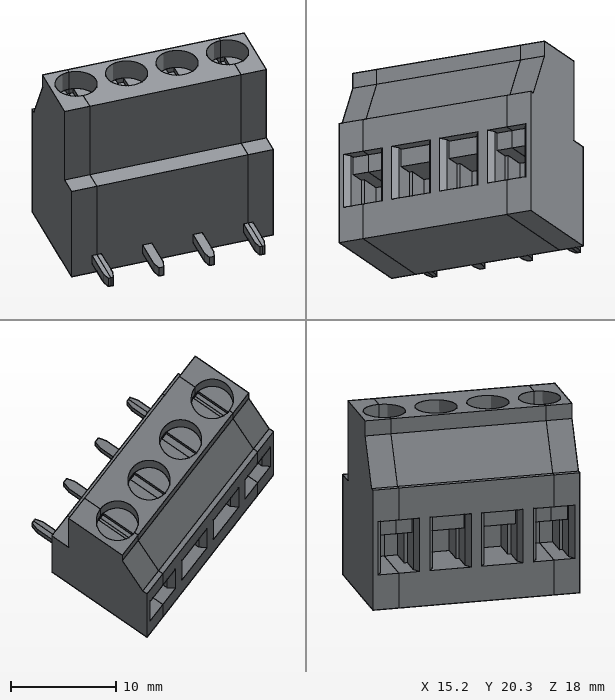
import cadquery as cq

pole_count = 4
pitch = 5.08
row_length = pole_count * pitch
first_pole_y = (pitch - row_length) / 2
pole_positions = [first_pole_y + i * pitch for i in range(pole_count)]
joint_y = pole_positions[-1]

base_depth = 11.2
height = 18.0
front_height = 12.0
front_ledge = 0.5
top_front_x = 2.9
slope_top_z = 16.5
top_back_x = 9.2
back_step_z = 10.0

well_diameter = 4.0
well_x = 5.35
well_depth = 2.0
slot_width = 0.81
slot_depth = 0.5

entry_floor_z = 3.5
entry_top_z = 8.82
mouth_width = 4.08
throat_width = 3.21
funnel_depth = 0.67
lintel_x = 1.14
lintel_z = 7.07
chamber_x = 2.87
chamber_width = 2.58
chamber_end_x = well_x

pin_tip_x = 15.2
pin_width = 0.93
pin_tip_width = 0.5
pin_taper = 0.8
pin_bottom_z = 1.04
pin_thickness = 0.98


def box_between(x_range, y_range, z_range):
    """Box spanning the given (low, high) range along each axis."""
    ranges = (x_range, y_range, z_range)
    sizes = [high - low for low, high in ranges]
    corner = tuple(low for low, high in ranges)
    return cq.Workplane("XY").box(*sizes, centered=False).translate(corner)


def housing_block():
    """Stepped housing profile, extruded over the whole row."""
    outline = [
        (0, 0),
        (base_depth, 0),
        (base_depth, back_step_z),
        (top_back_x, back_step_z),
        (top_back_x, height),
        (top_front_x, height),
        (top_front_x, slope_top_z),
        (front_ledge, front_height),
        (0, front_height),
    ]
    return cq.Workplane("XZ").polyline(outline).close().extrude(row_length / 2, both=True)


def screw_well(y):
    """Cutter for a round well and the driver slot across its floor."""
    floor_z = height - well_depth
    center = (well_x, y)
    well = cq.Workplane("XY", origin=(0, 0, floor_z)).pushPoints([center]).circle(well_diameter / 2)
    well = well.extrude(well_depth)
    slot = box_between(
        (well_x - well_diameter / 2, well_x + well_diameter / 2),
        (y - slot_width / 2, y + slot_width / 2),
        (floor_z - slot_depth, floor_z),
    )
    return well.union(slot)


def wire_entry(y):
    """Cutter for a flared mouth, a throat under a lintel and a narrower chamber."""
    funnel_outline = [
        (0, y - mouth_width / 2),
        (funnel_depth, y - throat_width / 2),
        (funnel_depth, y + throat_width / 2),
        (0, y + mouth_width / 2),
    ]
    funnel = cq.Workplane("XY", origin=(0, 0, entry_floor_z)).polyline(funnel_outline).close()
    funnel = funnel.extrude(entry_top_z - entry_floor_z)
    throat_y = (y - throat_width / 2, y + throat_width / 2)
    chamber_y = (y - chamber_width / 2, y + chamber_width / 2)
    tall_throat = box_between((funnel_depth, lintel_x), throat_y, (entry_floor_z, entry_top_z))
    low_throat = box_between((lintel_x, chamber_x), throat_y, (entry_floor_z, lintel_z))
    chamber = box_between((chamber_x, chamber_end_x), chamber_y, (entry_floor_z, lintel_z))
    return funnel.union(tall_throat).union(low_throat).union(chamber)


def solder_pin(y):
    """Flat pin with a tapered tip, standing out of the back face."""
    taper_x = pin_tip_x - pin_taper
    outline = [
        (base_depth, y - pin_width / 2),
        (taper_x, y - pin_width / 2),
        (pin_tip_x, y - pin_tip_width / 2),
        (pin_tip_x, y + pin_tip_width / 2),
        (taper_x, y + pin_width / 2),
        (base_depth, y + pin_width / 2),
    ]
    plane = cq.Workplane("XY", origin=(0, 0, pin_bottom_z))
    return plane.polyline(outline).close().extrude(pin_thickness)


def terminal_row():
    """Complete row of terminals, before it is divided into sections."""
    row = housing_block()
    for y in pole_positions:
        row = row.cut(screw_well(y)).cut(wire_entry(y)).union(solder_pin(y))
    return row


def section_of(row, y_low, y_high):
    """Part of the row between two Y positions."""
    return row.intersect(box_between((0, pin_tip_x), (y_low, y_high), (0, height))).solids()


def make_middle_section(row):
    """Section with two whole poles and half a pole at each end."""
    return section_of(row, -joint_y, joint_y)


def make_end_section(row, side):
    """Section with half a pole and the closing side wall; side is -1 or 1."""
    y_low, y_high = sorted((side * joint_y, side * row_length / 2))
    return section_of(row, y_low, y_high)


full_row = terminal_row()
middle_section = make_middle_section(full_row)
end_sections = [make_end_section(full_row, side) for side in (-1, 1)]

result = cq.Compound.makeCompound([middle_section.val(), *[end.val() for end in end_sections]])